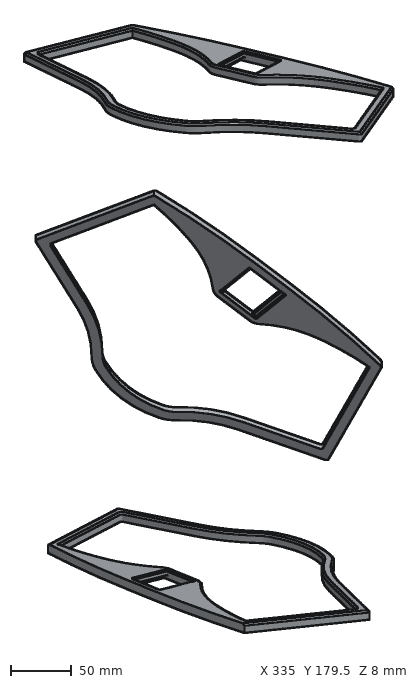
import cadquery as cq
import math


WIDTH = 335.0
DEPTH = 179.5
THICKNESS = 8.0

FRAME_WIDTH = 9.0
CORNER_RADIUS = 2.0
CHAMFER = 1.7
SLANT = 20.0

CHIN_RADIUS = 102.8
CHIN_ANGLE = 20.8
JAW_RADIUS = 35.0
JAW_ANGLE = 46.0
CHEEK_RADIUS = 114.0

BACK_CORNER_Y = 173.0

BRIDGE_Y = 132.5
BRIDGE_HALF_WIDTH = 18.5
BRIDGE_RADIUS = 13.5
BRIDGE_ANGLE = 40.0
BROW_RADIUS = 107.0
BROW_ANGLE = 17.5
TEMPLE_RADIUS = 167.5
TEMPLE_ANGLE = 12.0
OPENING_TOP_Y = 165.8

WINDOW_SIZE = 35.0
WINDOW_CENTER_Y = 155.0
WINDOW_CORNER_RADIUS = 1.0
WINDOW_CHAMFER = 1.5
BEVEL_ANGLE = 45.0
RELIEF_HEIGHT = 3.5
RELIEF_DEPTH = 3.5

SLANT_SIN = math.sin(math.radians(SLANT))
SLANT_COS = math.cos(math.radians(SLANT))
SLANT_TAN = SLANT_SIN / SLANT_COS


def slope_arc(start, radius, start_angle, end_angle):
    """Middle and end point of an arc that runs in -X while its slope changes."""
    signed_radius = math.copysign(radius, end_angle - start_angle)
    first = math.radians(start_angle)

    def point_at(angle):
        last = math.radians(angle)
        x = start[0] - signed_radius * (math.sin(last) - math.sin(first))
        y = start[1] + signed_radius * (math.cos(first) - math.cos(last))
        return x, y

    return point_at((start_angle + end_angle) / 2), point_at(end_angle)


def lower_arcs(inset):
    """Chin, jaw and cheek arcs of the lower contour, moved inwards by `inset`."""
    chin = slope_arc((0, inset), CHIN_RADIUS - inset, 0, CHIN_ANGLE)
    jaw = slope_arc(chin[1], JAW_RADIUS - inset, CHIN_ANGLE, JAW_ANGLE)
    cheek = slope_arc(jaw[1], CHEEK_RADIUS + inset, JAW_ANGLE, SLANT)
    return chin, jaw, cheek


def front_corner(inset):
    """Sharp corner between the straight lower bar and the side bar, moved inwards."""
    overhang = CORNER_RADIUS * (SLANT_COS + SLANT_SIN - 1)
    cheek_end = lower_arcs(0)[-1][1]
    x = -WIDTH / 2 - overhang
    y = cheek_end[1] + (cheek_end[0] - x) * SLANT_TAN
    return x + inset * (SLANT_COS + SLANT_SIN), y + inset * (SLANT_COS - SLANT_SIN)


def half_outline(inset, back_y):
    """Left half of a contour, from the chin up the side bar to height `back_y`."""
    corner = front_corner(inset)
    back_corner = (corner[0] + (back_y - corner[1]) * SLANT_TAN, back_y)
    outline = cq.Workplane("XY").moveTo(0, inset)
    for middle, end in lower_arcs(inset):
        outline = outline.threePointArc(middle, end)
    return outline.lineTo(*corner).lineTo(*back_corner), back_corner


def round_front_corners(body, inset):
    x, y = front_corner(inset)
    for corner_x in (x, -x):
        body = body.edges(cq.NearestToPointSelector((corner_x, y, THICKNESS / 2))).fillet(CORNER_RADIUS)
    return body


def make_plate():
    outline, (corner_x, corner_y) = half_outline(0, BACK_CORNER_Y)
    drop = DEPTH - corner_y
    run = -corner_x - BRIDGE_HALF_WIDTH
    back_radius = (run ** 2 + drop ** 2) / (2 * drop)
    corner_angle = -math.degrees(math.asin(run / back_radius))
    straight_end = (-BRIDGE_HALF_WIDTH, DEPTH)
    back_middle, _ = slope_arc(straight_end, back_radius, 0, corner_angle)
    outline = outline.threePointArc(back_middle, straight_end).lineTo(0, DEPTH)
    return round_front_corners(outline.mirrorY().extrude(THICKNESS), 0)


def make_opening():
    outline, top_corner = half_outline(FRAME_WIDTH, OPENING_TOP_Y)
    bridge_end = (-BRIDGE_HALF_WIDTH, BRIDGE_Y)
    bridge = slope_arc(bridge_end, BRIDGE_RADIUS, 0, BRIDGE_ANGLE)
    brow = slope_arc(bridge[1], BROW_RADIUS, BRIDGE_ANGLE, BROW_ANGLE)
    temple = slope_arc(brow[1], TEMPLE_RADIUS, BROW_ANGLE, TEMPLE_ANGLE)

    end_x, end_y = temple[1]
    chord_angle = math.degrees(math.atan2(top_corner[1] - end_y, end_x - top_corner[0]))
    corner_angle = 2 * chord_angle - TEMPLE_ANGLE
    chord = math.hypot(top_corner[0] - end_x, top_corner[1] - end_y)
    radius = chord / (2 * math.sin(math.radians(TEMPLE_ANGLE - chord_angle)))
    middle, _ = slope_arc(temple[1], radius, TEMPLE_ANGLE, corner_angle)

    outline = outline.threePointArc(middle, temple[1])
    outline = outline.threePointArc(temple[0], brow[1])
    outline = outline.threePointArc(brow[0], bridge[1])
    outline = outline.threePointArc(bridge[0], bridge_end).lineTo(0, BRIDGE_Y)
    return round_front_corners(outline.mirrorY().extrude(THICKNESS), FRAME_WIDTH)


def chamfer_frame(body):
    """Bevel every upper edge of the frame except the back edge, which stays sharp."""
    below_back_edge = cq.selectors.BoxSelector(
        (-WIDTH, -DEPTH, 0), (WIDTH, BACK_CORNER_Y, 2 * THICKNESS))
    return body.faces(">Z").edges(below_back_edge).chamfer(CHAMFER)


def cut_window(body):
    """Cut a round-cornered window with a sharp-cornered bevel on top and undercut side walls."""
    center = cq.Workplane("XY").center(0, WINDOW_CENTER_Y)
    window = center.rect(WINDOW_SIZE, WINDOW_SIZE).extrude(THICKNESS)
    window = window.edges("|Z").fillet(WINDOW_CORNER_RADIUS)
    bevel = (center.workplane(offset=THICKNESS - WINDOW_CHAMFER)
             .rect(WINDOW_SIZE, WINDOW_SIZE).extrude(WINDOW_CHAMFER, taper=-BEVEL_ANGLE))
    relief = center.rect(WINDOW_SIZE + 2 * RELIEF_DEPTH, WINDOW_SIZE).extrude(RELIEF_HEIGHT)
    return body.cut(window).cut(bevel).cut(relief)


result = cut_window(chamfer_frame(make_plate().cut(make_opening())))